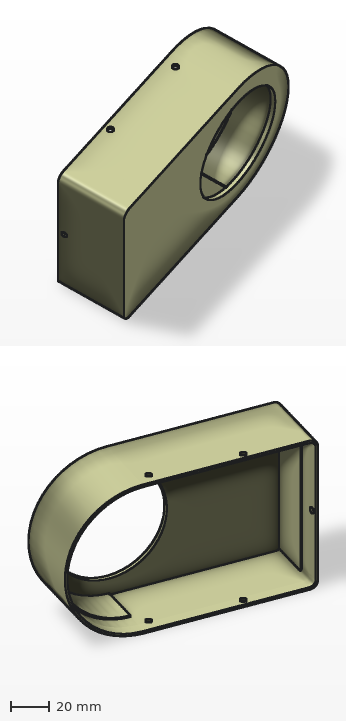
import cadquery as cq

depth = 42.8
height = 92.2
length = 149.2
end_radius = height / 2
square_end_y = end_radius - length
corner_radius = 5.0

rim_wall = 1.5
wall = 2.0
floor_thickness = 3.0
floor_x = depth - floor_thickness
rim_taper_depth = 6.0

liner_start_x = 15.0
liner_thickness = 1.0

port_diameter = 68.0
screw_diameter = 3.5
rim_screw_x = 4.0
inner_screw_x = 7.5
rim_screw_y = -61.0
inner_screw_y = -7.0


def housing_profile(x, inset):
    """Closed D-shaped outline at a given X, moved inward by inset."""
    radius = end_radius - inset
    end_y = square_end_y + inset
    corner = corner_radius - inset
    setback = corner * (1 - 0.5 ** 0.5)
    return (
        cq.Workplane("YZ", origin=(x, 0, 0))
        .moveTo(0, -radius)
        .threePointArc((radius, 0), (0, radius))
        .lineTo(end_y + corner, radius)
        .threePointArc((end_y + setback, radius - setback), (end_y, radius - corner))
        .lineTo(end_y, corner - radius)
        .threePointArc((end_y + setback, setback - radius), (end_y + corner, -radius))
        .close()
    )


def rim_taper():
    """Cavity mouth that narrows from the thin rim to the full wall thickness."""
    mouth = housing_profile(0, rim_wall).val()
    throat = housing_profile(rim_taper_depth, wall).val()
    return cq.Workplane(cq.Solid.makeLoft([mouth, throat], True))


def cavity():
    """Straight part of the cavity, down to the floor."""
    return housing_profile(rim_taper_depth, wall).extrude(floor_x - rim_taper_depth)


def liners():
    """Half ring in the rounded end and a flat pad on the square end wall."""
    liner_depth = floor_x - liner_start_x
    core_inset = wall + liner_thickness
    core_end_y = square_end_y + core_inset
    core_base = cq.Workplane("YZ", origin=(liner_start_x, 0, 0))
    round_core = core_base.circle(end_radius - core_inset).extrude(liner_depth)
    straight_core = core_base.center(core_end_y / 2, 0).rect(-core_end_y, height).extrude(liner_depth)
    space = housing_profile(liner_start_x, wall).extrude(liner_depth)
    return space.cut(round_core).cut(straight_core)


def port():
    """Large round opening through the floor."""
    return cq.Workplane("YZ", origin=(floor_x, 0, 0)).circle(port_diameter / 2).extrude(floor_thickness)


def screw_holes():
    """Screw holes through both long walls and one through the square end wall."""
    side_holes = (
        cq.Workplane("XY", origin=(0, 0, -end_radius))
        .pushPoints([(rim_screw_x, rim_screw_y), (inner_screw_x, inner_screw_y)])
        .circle(screw_diameter / 2)
        .extrude(height)
    )
    end_hole = (
        cq.Workplane("XZ", origin=(0, square_end_y + corner_radius, 0))
        .center(rim_screw_x, 0)
        .circle(screw_diameter / 2)
        .extrude(corner_radius)
    )
    return side_holes.union(end_hole)


shell = housing_profile(0, 0).extrude(depth).cut(rim_taper()).cut(cavity())
result = shell.union(liners()).cut(port()).cut(screw_holes())